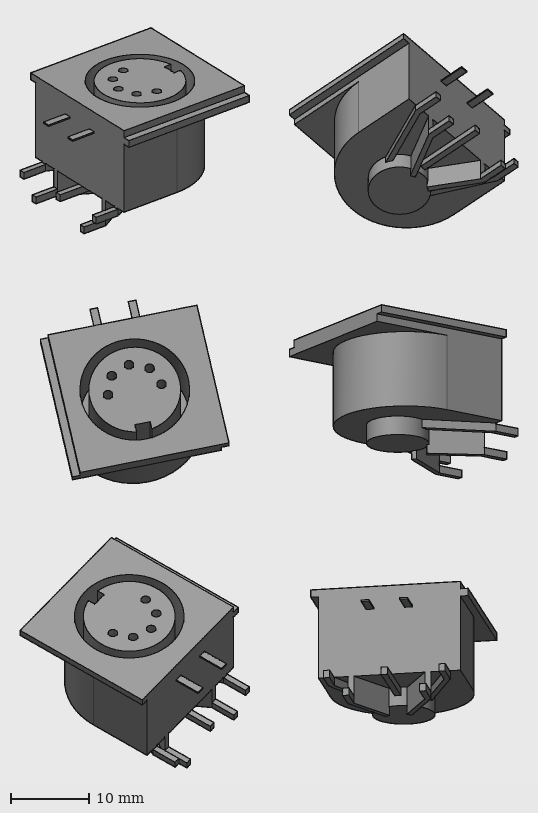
import cadquery as cq
import math


flange_length = 19.5
front_y = -flange_length / 2
body_width = 18.47
side_x = body_width / 2
overall_width = 20.5
lip_x = overall_width / 2
layer_thickness = 1.0
body_depth = 11.9
round_center_y = front_y + 8.55

socket_diameter = 14.0
plug_diameter = 11.73
groove_depth = 9.2
key_width = 2.0
key_inner_y = 4.75
contact_hole_diameter = 1.2
contact_circle_radius = 3.5
contact_hole_depth = 6.9
contact_angles = range(180, 361, 45)

boss_radius = 4.0
boss_bottom_z = -14.35

overall_length = 23.0
overall_height = 15.5
pin_end_y = flange_length / 2 - overall_length
pin_width = 0.8
pin_height = 1.0
pin_pitch = 2.5
upper_row_bottom_z = -13.0
lower_row_bottom_z = -overall_height
inner_blade_angle = 60
inner_blade_end_y = -3.35
outer_blade_angle = 65
outer_blade_end_y = -1.01

tab_width = 1.01
tab_thickness = 0.2
tab_top_z = -2.85


def block(x_range, y_range, z_range):
    """Axis-aligned box from its limits along X, Y and Z."""
    (x0, x1), (y0, y1), (z0, z1) = x_range, y_range, z_range
    return cq.Workplane("XY").box(x1 - x0, y1 - y0, z1 - z0, centered=False).translate((x0, y0, z0))


def housing():
    """Body with a semicircular back, under two offset flange layers."""
    body = (
        cq.Workplane("XY")
        .moveTo(-side_x, front_y)
        .lineTo(side_x, front_y)
        .lineTo(side_x, round_center_y)
        .threePointArc((0, round_center_y + side_x), (-side_x, round_center_y))
        .close()
        .extrude(-body_depth)
    )
    flange_span = (front_y, -front_y)
    top_layer = block((-lip_x, side_x), flange_span, (-layer_thickness, 0))
    lower_layer = block((-side_x, lip_x), flange_span, (-2 * layer_thickness, -layer_thickness))
    return body.union(top_layer).union(lower_layer)


def socket_groove():
    """Ring-shaped groove with a key notch cut into the central plug."""
    ring = cq.Workplane("XY").circle(socket_diameter / 2).circle(plug_diameter / 2).extrude(-groove_depth)
    key_outer_y = (socket_diameter + plug_diameter) / 4
    key = block((-key_width / 2, key_width / 2), (key_inner_y, key_outer_y), (-groove_depth, 0))
    return ring.union(key)


def contact_holes():
    """Blind holes spaced evenly around the front half of the plug."""
    centers = [
        (
            contact_circle_radius * math.cos(math.radians(angle)),
            contact_circle_radius * math.sin(math.radians(angle)),
        )
        for angle in contact_angles
    ]
    return cq.Workplane("XY").pushPoints(centers).circle(contact_hole_diameter / 2).extrude(-contact_hole_depth)


def boss():
    return (
        cq.Workplane("XY")
        .workplane(offset=boss_bottom_z)
        .circle(boss_radius)
        .extrude(-body_depth - boss_bottom_z)
    )


def pin(center_x, bottom_z, back_y):
    """Straight terminal pin ending in front of the housing."""
    half = pin_width / 2
    return block((center_x - half, center_x + half), (pin_end_y, back_y), (bottom_z, bottom_z + pin_height))


def blade(center_x, bottom_z, angle, end_y):
    """Slanted plate on the -X side, as wide as its pin at the front and square at its inner end."""
    slope = math.tan(math.radians(angle))
    left_x = center_x - pin_width / 2
    right_x = center_x + pin_width / 2
    thickness = pin_width * math.sin(math.radians(angle))
    end_x = left_x + (end_y - front_y) / slope
    end_right_x = end_x + thickness * math.sin(math.radians(angle))
    end_right_y = end_y - thickness * math.cos(math.radians(angle))
    return (
        cq.Workplane("XY")
        .workplane(offset=bottom_z)
        .polyline([(left_x, front_y), (right_x, front_y), (end_right_x, end_right_y), (end_x, end_y)])
        .close()
        .extrude(-body_depth - bottom_z)
    )


def bladed_terminals():
    """Mirrored pairs of inner and outer pins with their blades."""
    inner_x = -2 * pin_pitch
    outer_x = -3 * pin_pitch
    left = (
        blade(inner_x, lower_row_bottom_z, inner_blade_angle, inner_blade_end_y)
        .union(pin(inner_x, lower_row_bottom_z, front_y))
        .union(blade(outer_x, upper_row_bottom_z, outer_blade_angle, outer_blade_end_y))
        .union(pin(outer_x, upper_row_bottom_z, front_y))
    )
    return left.union(left.mirror("YZ"))


def shield_tab(center_x):
    """Thin tab projecting from the front face."""
    half = tab_width / 2
    return block(
        (center_x - half, center_x + half),
        (pin_end_y, front_y),
        (tab_top_z - tab_thickness, tab_top_z),
    )


result = housing().cut(socket_groove()).cut(contact_holes())
result = result.union(boss()).union(bladed_terminals())
result = result.union(pin(0, upper_row_bottom_z, 0))
for tab_x in (-pin_pitch, pin_pitch):
    result = result.union(shield_tab(tab_x))